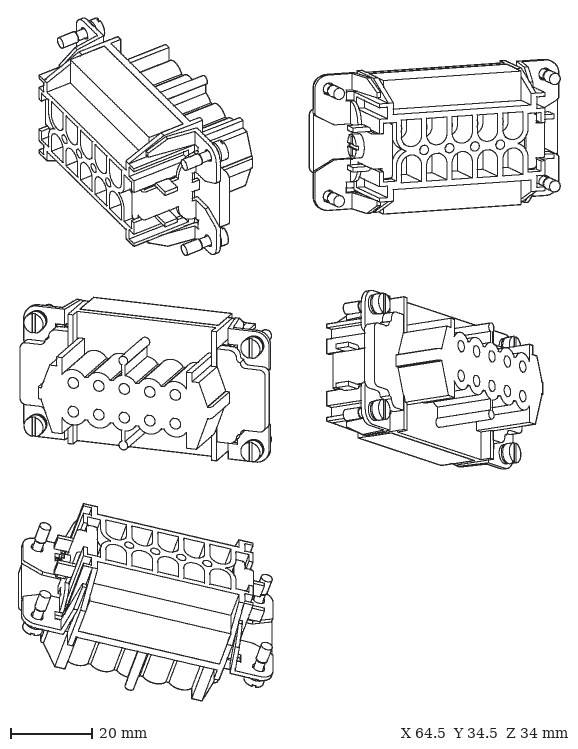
import cadquery as cq

length = 64.5
height = 34.0
back_y = 17.3
front_y = -17.2
contact_count = 5
contact_pitch = 6.7
contact_z = 3.75
contact_hole_dia = 2.8

rail_x = 21.85
rail_half_height = 12.3
rail_back_y = 0.55
rail_lip = 0.95
groove_bottom_z = 8.45
groove_floor_x = 19.75
groove_end_y = -1.3
wall_outer_x = 19.55
wall_inner_x = 18.2
wall_half_height = 16.85
wall_back_y = 4.4
wall_slope_y = -6.95
frame_back_y = 1.5
frame_front_y = -0.45
block_sink = 0.05
step_y = -10.4
step_z = 9.4

flange_front_y = 1.3
flange_back_y = 4.2
flange_edge_half = 6.5
flange_corner_radius = 1.55
flange_top_z = 12.3
flange_bottom_z = 11.95
flange_cusp_x = 25.7
flange_cusp_z = 9.4
flange_rise_x = 24.7
flange_inner_hollow = 0.95
flange_rise_radius = 1.95

core_half_height = 5.55
tower_dia = 6.95
core_end_flat = 1.6
ledge_x = 19.6
ledge_top_z = 7.7
ledge_bottom_x = 18.95
ledge_bottom_z = -9.8
ledge_inner_x = 16.3
rib_outer_x = 17.8
rib_top_z = 10.0
key_x = 0.25
key_z = 11.0
key_dia = 2.3
key_neck_width = 0.9

chamber_width = 5.35
chamber_top_z = 7.9
chamber_depth = 10.3
test_hole_dia = 2.3
test_hole_depth = 5.15
pocket_outer_x = 20.8
pocket_inner_x = 17.4
pocket_half_height = 7.35
pocket_tip_x = 14.6
pocket_curve_radius = 4.0
opening_half_height = 4.8
opening_end_y = -4.8

sheet = 0.95
bend_radius = 0.9
plate_x = rail_x + sheet
tongue_half_width = 1.5
tang_half_width = 4.4
notch_end_y = -0.7
shoulder_half_width = 10.05
foot_y = -15.1
foot_inner_x = 17.6
foot_wide_x = 20.4
foot_half_width = 6.95
foot_chamfer = 0.5
clip_x = 26.6
clip_back_y = -7.5
clip_front_y = -11.1
clip_thickness = 1.15

ear_front_y = 0.29
ear_back_y = 1.5
ear_top_z = height / 2
ear_corner_radius = 3.5
ear_low_z = 7.1
ear_low_radius = 0.95
ear_slope_x = 27.1
relief_x = 23.9
relief_low_z = 10.2
wing_low_z = 12.9
wing_root_x = 22.45
wing_bend_x = 21.5
wing_tip_x = 20.6
wing_tip_y = -12.2
wing_tip_z = 14.2
wing_slope_y = -6.95

ground_dia = 6.0
ground_y = -6.25
ground_head = 2.1
ground_slot = 0.95
ground_slot_depth = 0.6
ground_short_slot = 4.9

screw_x = 28.5
screw_z = 13.5
screw_hole_dia = 3.0
head_dia = 5.0
head_back_y = 4.65
head_front_y = 2.65
head_slot = 0.85
head_slot_depth = 0.45
washer_dia = 4.8
washer_back_y = 2.1
neck_dia = 2.3
thread_dia = 2.85
thread_back_y = -2.25
thread_front_y = -6.7

contact_xs = [(i - (contact_count - 1) / 2) * contact_pitch for i in range(contact_count)]


def block(x0, x1, y0, y1, z0, z1):
    """Axis-aligned box between two opposite corners."""
    return cq.Workplane("XY").box(x1 - x0, y1 - y0, z1 - z0, centered=False).translate((x0, y0, z0))


def centred_block(half_x, y0, y1, half_z):
    """Box centred in X and Z."""
    return block(-half_x, half_x, y0, y1, -half_z, half_z)


def section(y_back):
    """Sketch plane across the part; extruding goes toward the wiring side."""
    return cq.Workplane("XZ", origin=(0, y_back, 0))


def rod(diameter, x, z, y0, y1):
    """Cylinder along Y."""
    return section(y1).center(x, z).circle(diameter / 2).extrude(y1 - y0)


def both_ends(shape):
    return shape.union(shape.mirror("YZ"))


def top_and_bottom(shape):
    return shape.union(shape.mirror("XY"))


def wiring_block():
    """Front half: railed block, stepped upper and lower blocks, sloped end walls."""
    body = centred_block(rail_x, front_y, rail_back_y, rail_half_height)
    step = block(-wall_inner_x, wall_inner_x, front_y, step_y, step_z, rail_half_height)
    body = body.cut(top_and_bottom(step))
    groove_top_z = rail_half_height - rail_lip
    groove = block(-rail_x, -groove_floor_x, front_y, groove_end_y, groove_bottom_z, groove_top_z)
    body = body.cut(both_ends(top_and_bottom(groove)))
    body = body.union(centred_block(wall_inner_x, step_y, frame_front_y, wall_half_height - block_sink))
    body = body.union(centred_block(wall_inner_x, frame_front_y, frame_back_y, wall_half_height))
    wall = (
        cq.Workplane("YZ", origin=(-wall_outer_x, 0, 0))
        .moveTo(wall_back_y, 0)
        .lineTo(wall_back_y, wall_half_height)
        .lineTo(wall_slope_y, wall_half_height)
        .lineTo(front_y, rail_half_height)
        .lineTo(front_y, 0)
        .close()
        .extrude(wall_outer_x - wall_inner_x)
    )
    return body.union(both_ends(top_and_bottom(wall)))


def flange_quarter(edge_z):
    """Left upper quarter of the flange, hollowed to clear the screw head."""
    end_x = length / 2
    low_z = flange_edge_half + flange_corner_radius
    outer_hollow = flange_cusp_z - low_z
    return (
        section(flange_back_y)
        .moveTo(-end_x, 0)
        .lineTo(-end_x, flange_edge_half)
        .radiusArc((-end_x + flange_corner_radius, low_z), flange_corner_radius)
        .lineTo(-flange_cusp_x - outer_hollow, low_z)
        .radiusArc((-flange_cusp_x, flange_cusp_z), -outer_hollow)
        .radiusArc((-flange_rise_x, edge_z - flange_rise_radius), -flange_inner_hollow)
        .radiusArc((-flange_rise_x + flange_rise_radius, edge_z), flange_rise_radius)
        .lineTo(-wall_inner_x, edge_z)
        .lineTo(-wall_inner_x, 0)
        .close()
        .extrude(flange_back_y - flange_front_y)
    )


def flange():
    """Thick plate behind the ears at both ends of the housing."""
    lower = flange_quarter(flange_bottom_z).mirror("XY")
    return both_ends(flange_quarter(flange_top_z).union(lower))


def mating_block():
    """Rear half: core with contact towers, wedge ends, ribs and the round-edged key."""
    depth = back_y - flange_front_y
    body = centred_block(ledge_x, flange_front_y, back_y, core_half_height)
    for x in contact_xs:
        for z in (-contact_z, contact_z):
            body = body.union(rod(tower_dia, x, z, flange_front_y, back_y))
    wedge = (
        section(back_y)
        .moveTo(-rail_x, core_end_flat)
        .lineTo(-ledge_x, ledge_top_z)
        .lineTo(-ledge_inner_x, ledge_top_z)
        .lineTo(-ledge_inner_x, ledge_bottom_z)
        .lineTo(-ledge_bottom_x, ledge_bottom_z)
        .lineTo(-rail_x, -core_end_flat)
        .close()
        .extrude(depth)
    )
    rib = block(-rib_outer_x, -ledge_inner_x, flange_front_y, back_y, 0, rib_top_z)
    key = rod(key_dia, key_x, key_z, flange_front_y, back_y)
    neck_half = key_neck_width / 2
    neck = block(key_x - neck_half, key_x + neck_half, flange_front_y, back_y, 0, key_z)
    return body.union(both_ends(wedge.union(rib))).union(top_and_bottom(key.union(neck)))


def contact_cuts():
    """Round contact bores, and the arched chambers they open into."""
    radius = chamber_width / 2
    chamber = (
        section(front_y + chamber_depth)
        .moveTo(-radius, chamber_top_z)
        .lineTo(-radius, contact_z)
        .threePointArc((0, contact_z - radius), (radius, contact_z))
        .lineTo(radius, chamber_top_z)
        .close()
        .extrude(chamber_depth)
    )
    bore = rod(contact_hole_dia, 0, contact_z, front_y, back_y)
    pair = top_and_bottom(chamber.union(bore))
    cuts = pair.translate((contact_xs[0], 0, 0))
    for x in contact_xs[1:]:
        cuts = cuts.union(pair.translate((x, 0, 0)))
    return cuts


def test_holes():
    """Small blind holes on the centre line, halfway between the contacts."""
    centres = [(x + contact_pitch / 2, 0) for x in contact_xs[:-1]]
    floor = section(front_y + test_hole_depth).pushPoints(centres)
    return floor.circle(test_hole_dia / 2).extrude(test_hole_depth)


def plate_pocket():
    """Pocket for the foot of an end plate, open outward and pointed between two contacts."""
    floor_y = foot_y + sheet
    pocket = block(
        -pocket_outer_x, -pocket_inner_x, front_y, floor_y, -pocket_half_height, pocket_half_height
    )
    point = block(-pocket_inner_x, -pocket_tip_x, front_y, floor_y, -contact_z, contact_z)
    for z in (-contact_z, contact_z):
        point = point.cut(rod(2 * pocket_curve_radius, contact_xs[0], z, front_y, floor_y))
    opening = block(
        -rail_x, -pocket_outer_x, front_y, opening_end_y, -opening_half_height, opening_half_height
    )
    return pocket.union(point).union(opening)


def upright():
    """Sheet along the end of the housing, from the rear tongue to the foot bend."""
    arc_radius = ear_front_y - opening_end_y
    half = (
        cq.Workplane("YZ", origin=(-plate_x, 0, 0))
        .moveTo(back_y, 0)
        .lineTo(back_y, tongue_half_width)
        .lineTo(notch_end_y, tongue_half_width)
        .lineTo(notch_end_y, tang_half_width)
        .lineTo(ear_back_y, tang_half_width)
        .lineTo(ear_back_y, shoulder_half_width)
        .lineTo(ear_front_y, shoulder_half_width)
        .radiusArc((opening_end_y, shoulder_half_width - arc_radius), -arc_radius)
        .lineTo(opening_end_y, tang_half_width)
        .lineTo(foot_y, tang_half_width)
        .lineTo(foot_y, 0)
        .close()
        .extrude(sheet)
    )
    return top_and_bottom(half).faces("<X").edges("<Y or >Y").fillet(bend_radius)


def foot():
    """Part of the sheet folded inward, wider behind the pocket mouth."""
    back = foot_y + sheet
    stem = block(-rail_x, -foot_wide_x, foot_y, back, -tang_half_width, tang_half_width)
    pad = block(-foot_wide_x, -foot_inner_x, foot_y, back, -foot_half_width, foot_half_width)
    return stem.union(pad.edges("|Y").chamfer(foot_chamfer))


def ear():
    """Flat screw ear with the relief notch beside its bend."""
    end_x = length / 2
    plate = (
        section(ear_back_y)
        .moveTo(-end_x, ear_low_z)
        .lineTo(-end_x, ear_top_z - ear_corner_radius)
        .radiusArc((-end_x + ear_corner_radius, ear_top_z), ear_corner_radius)
        .lineTo(-wing_bend_x, ear_top_z)
        .lineTo(-wing_root_x, wing_low_z)
        .lineTo(-relief_x, wing_low_z)
        .lineTo(-relief_x, relief_low_z)
        .lineTo(-rail_x, relief_low_z)
        .lineTo(-rail_x, tang_half_width)
        .lineTo(-ear_slope_x, tang_half_width)
        .close()
        .extrude(ear_back_y - ear_front_y)
    )
    low_corner = cq.NearestToPointSelector((-end_x, (ear_front_y + ear_back_y) / 2, ear_low_z))
    plate = plate.edges(low_corner).fillet(ear_low_radius)
    return plate.cut(rod(screw_hole_dia, -screw_x, screw_z, ear_front_y, ear_back_y))


def wing():
    """Tapered flap bent from the ear back along the housing end wall."""
    flap = (
        cq.Workplane("XY", origin=(0, 0, wing_low_z))
        .moveTo(-wing_root_x, ear_back_y)
        .lineTo(-wing_root_x, ear_front_y)
        .lineTo(-wing_tip_x, wing_tip_y)
        .lineTo(-wing_tip_x + sheet, wing_tip_y)
        .lineTo(-wing_bend_x, ear_back_y)
        .close()
        .extrude(ear_top_z - wing_low_z)
    )
    corner = (
        cq.Workplane("YZ", origin=(-wing_root_x, 0, 0))
        .moveTo(wing_slope_y, ear_top_z)
        .lineTo(wing_tip_y, ear_top_z)
        .lineTo(wing_tip_y, wing_tip_z)
        .close()
        .extrude(wing_root_x)
    )
    return flap.cut(corner)


def clip():
    """Outward tab on the edge of the tang, rounded at its bend."""
    top_z = tang_half_width + clip_thickness
    tab = block(-clip_x, -rail_x, clip_front_y, clip_back_y, tang_half_width, top_z)
    return tab.edges(">X and >Z").fillet(bend_radius)


def ground_screw_head():
    """Cross-slotted head on the outside of the left plate."""
    face_x = -plate_x - ground_head
    head = cq.Workplane("YZ", origin=(face_x, ground_y, 0)).circle(ground_dia / 2).extrude(ground_head)
    for slot_y, slot_z in ((ground_slot, ground_short_slot), (ground_dia, ground_slot)):
        face = cq.Workplane("YZ", origin=(face_x, ground_y, 0))
        head = head.cut(face.rect(slot_y, slot_z).extrude(ground_slot_depth))
    return head


def end_plate():
    return upright().union(foot()).union(top_and_bottom(ear().union(wing()).union(clip())))


def insert_body():
    body = wiring_block().union(flange()).union(mating_block())
    body = body.cut(contact_cuts()).cut(test_holes()).cut(both_ends(plate_pocket()))
    return body.union(both_ends(end_plate())).union(ground_screw_head())


def mounting_screw(x, z):
    """Slotted screw with its washer seated on the ear."""
    head = rod(head_dia, 0, 0, head_front_y, head_back_y)
    slot_half = head_slot / 2
    head = head.cut(
        block(-slot_half, slot_half, head_back_y - head_slot_depth, head_back_y, -head_dia, head_dia)
    )
    washer = rod(washer_dia, 0, 0, ear_back_y, washer_back_y)
    neck = rod(neck_dia, 0, 0, thread_back_y, head_front_y)
    thread = rod(thread_dia, 0, 0, thread_front_y, thread_back_y)
    return head.union(washer).union(neck).union(thread).translate((x, 0, z))


insert = insert_body()
screws = [
    mounting_screw(x, z).val()
    for x in (-screw_x, screw_x)
    for z in (-screw_z, screw_z)
]

result = cq.Compound.makeCompound([insert.val(), *screws])